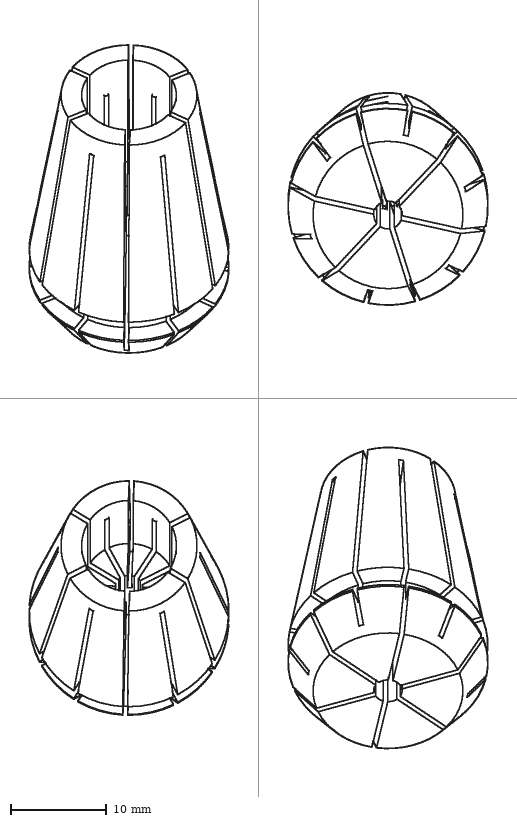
import cadquery as cq
import math

TOTAL_HEIGHT = 31.5
OUTER_RADIUS = 10.5
TAPER_ANGLE = 8.0
NOSE_ANGLE = 30.0
NOSE_CONE_HEIGHT = 4.55
RIM_WIDTH = 0.28
GROOVE_WIDTH = 2.85
GROOVE_RADIUS = 8.65

SMALL_BORE_RADIUS = 1.48
LARGE_BORE_RADIUS = 4.98
LARGE_BORE_DEPTH = 15.75

SLOTS_PER_SIDE = 6
SLOT_WIDTH = 0.5
SAW_RADIUS = 18.9
SAW_CENTER_RADIUS = 19.7
NOSE_SLOT_SAW_Z = 14.75
TOP_SLOT_SAW_Z = 16.32

SLOT_PITCH = 360.0 / SLOTS_PER_SIDE


def make_body():
    """Revolve the outer profile: nose cone, rim, groove and clamping cone."""
    rim_top = NOSE_CONE_HEIGHT + RIM_WIDTH
    groove_top = rim_top + GROOVE_WIDTH
    nose_radius = OUTER_RADIUS - NOSE_CONE_HEIGHT * math.tan(math.radians(NOSE_ANGLE))
    taper_height = TOTAL_HEIGHT - groove_top
    top_radius = OUTER_RADIUS - taper_height * math.tan(math.radians(TAPER_ANGLE))
    profile = [
        (0, 0),
        (nose_radius, 0),
        (OUTER_RADIUS, NOSE_CONE_HEIGHT),
        (OUTER_RADIUS, rim_top),
        (GROOVE_RADIUS, rim_top),
        (GROOVE_RADIUS, groove_top),
        (OUTER_RADIUS, groove_top),
        (top_radius, TOTAL_HEIGHT),
        (0, TOTAL_HEIGHT),
    ]
    return cq.Workplane("XZ").polyline(profile).close().revolve(360, (0, 0), (0, 1))


def cut_bore(body):
    """Cut the small through bore and the wide counterbore from the top."""
    top = cq.Workplane("XY").workplane(offset=TOTAL_HEIGHT)
    small_bore = top.circle(SMALL_BORE_RADIUS).extrude(-TOTAL_HEIGHT)
    large_bore = top.circle(LARGE_BORE_RADIUS).extrude(-LARGE_BORE_DEPTH)
    return body.cut(small_bore).cut(large_bore)


def make_slot(saw_z, open_end_z, arc_side):
    """Radial slot along +X with a saw-arc end.

    The slot runs straight from the saw centre height to the open end; beyond the
    centre height it ends in a quarter arc, upward (arc_side = 1) or downward (-1).
    """
    inner_end = SAW_CENTER_RADIUS - SAW_RADIUS
    arc_offset = SAW_RADIUS * math.sqrt(0.5)
    return (
        cq.Workplane("XZ")
        .moveTo(inner_end, open_end_z)
        .lineTo(inner_end, saw_z)
        .threePointArc(
            (SAW_CENTER_RADIUS - arc_offset, saw_z + arc_side * arc_offset),
            (SAW_CENTER_RADIUS, saw_z + arc_side * SAW_RADIUS),
        )
        .lineTo(SAW_CENTER_RADIUS, open_end_z)
        .close()
        .extrude(SLOT_WIDTH / 2, both=True)
    )


def cut_slots(body, slot, first_angle):
    """Cut one ring of equally spaced copies of a slot."""
    for index in range(SLOTS_PER_SIDE):
        angle = first_angle + index * SLOT_PITCH
        body = body.cut(slot.rotate((0, 0, 0), (0, 0, 1), angle))
    return body


top_slot = make_slot(TOP_SLOT_SAW_Z, TOTAL_HEIGHT, -1)
nose_slot = make_slot(NOSE_SLOT_SAW_Z, 0, 1)

collet = cut_bore(make_body())
collet = cut_slots(collet, top_slot, 0)
result = cut_slots(collet, nose_slot, SLOT_PITCH / 2)